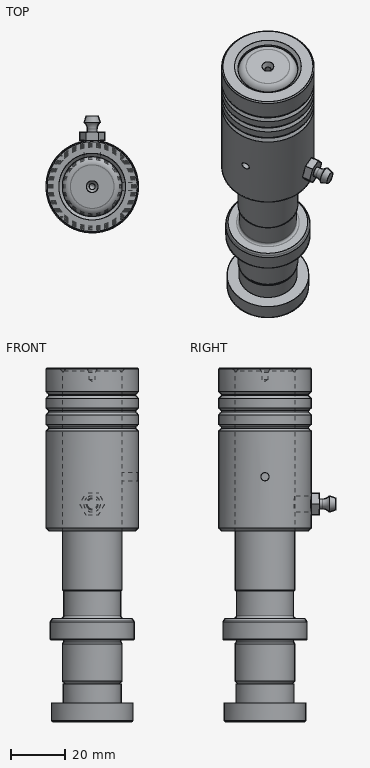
import cadquery as cq
import math

TOTAL_HEIGHT = 130.0
SLEEVE_LENGTH = 60.0
SLEEVE_BOTTOM = TOTAL_HEIGHT - SLEEVE_LENGTH

SLEEVE_RADIUS = 17.0
SLEEVE_TOP_CHAMFER = 0.5
SLEEVE_BOTTOM_CHAMFER = 1.2
BORE_CHAMFER = 1.25
GROOVE_COUNT = 3
GROOVE_PITCH = 6.0
FIRST_GROOVE_FROM_TOP = 10.0
GROOVE_MOUTH = 2.5
GROOVE_DEPTH = 1.0
SIDE_PORT_RADIUS = 1.5
SIDE_PORT_Z = 90.0

PIN_RADIUS = 11.0
PIN_BOTTOM = 14.0
PIN_TOP_FILLET = 3.0
PIN_END_CHAMFER = 1.0
NECK_RADIUS = 10.5
NECK_TOP = 48.5
COLLAR_RADIUS = 15.5
COLLAR_BOTTOM = 30.0
COLLAR_TOP = 38.0
COLLAR_FILLET = 1.0
COLLAR_BEVEL_HEIGHT = 0.7
COLLAR_TOP_BEVEL_WIDTH = 0.5
COLLAR_SIDE_BEVEL_WIDTH = 0.4
COLLAR_BOTTOM_CHAMFER = 0.4
RELIEF_WIDTH = 0.6
RELIEF_TAPER_HEIGHT = 0.8

CENTRE_MOUTH_RADIUS = 2.15
CENTRE_HOLE_RADIUS = 1.1
CENTRE_CONE_HALF_ANGLE = 30.0
DRILL_TIP_HALF_ANGLE = 60.0
CENTRE_CONE_DEPTH = (CENTRE_MOUTH_RADIUS - CENTRE_HOLE_RADIUS) / math.tan(math.radians(CENTRE_CONE_HALF_ANGLE))
CENTRE_HOLE_DEPTH = 2.5
CENTRE_TIP_HEIGHT = CENTRE_HOLE_RADIUS / math.tan(math.radians(DRILL_TIP_HALF_ANGLE))

CAP_RADIUS = 15.0
CAP_FLANGE_HEIGHT = 7.0
CAP_SPIGOT_RADIUS = 10.7
CAP_BOTTOM_CHAMFER = 0.5

NIPPLE_Z = 80.0
NIPPLE_TIP_Y = 26.0
HEX_ACROSS_FLATS = 8.0
HEX_HEIGHT = 3.0
NIPPLE_SHANK_RADIUS = 3.0
NIPPLE_NECK_RADIUS = 1.85
NIPPLE_NECK_LENGTH = 1.2
NIPPLE_HEAD_RADIUS = 3.0
NIPPLE_HEAD_Y = 23.6
NIPPLE_TIP_RADIUS = 2.2


def quarter_arc_inset(radius):
    """Inset of a quarter arc's middle from each of the two lines that it rounds."""
    return radius * (1 - math.sqrt(0.5))


def revolve_about_z(points):
    return cq.Workplane("XZ").polyline(points).close().revolve(360, (0, 0), (0, 1))


def nipple_workplane(y):
    """Plane across the nipple axis, facing +Y."""
    return cq.Workplane(cq.Plane(origin=(0, y, NIPPLE_Z), xDir=(1, 0, 0), normal=(0, 1, 0)))


def nipple_shank_rod():
    """Rod from the pin axis out to the sleeve's surface."""
    return nipple_workplane(0).circle(NIPPLE_SHANK_RADIUS).extrude(SLEEVE_RADIUS)


def make_groove(z_centre):
    half_mouth = GROOVE_MOUTH / 2
    half_floor = half_mouth - GROOVE_DEPTH
    floor_radius = SLEEVE_RADIUS - GROOVE_DEPTH
    return revolve_about_z([
        (SLEEVE_RADIUS + GROOVE_DEPTH, z_centre - half_mouth - GROOVE_DEPTH),
        (floor_radius, z_centre - half_floor),
        (floor_radius, z_centre + half_floor),
        (SLEEVE_RADIUS + GROOVE_DEPTH, z_centre + half_mouth + GROOVE_DEPTH),
    ])


def make_sleeve():
    sleeve = revolve_about_z([
        (PIN_RADIUS, SLEEVE_BOTTOM),
        (SLEEVE_RADIUS - SLEEVE_BOTTOM_CHAMFER, SLEEVE_BOTTOM),
        (SLEEVE_RADIUS, SLEEVE_BOTTOM + SLEEVE_BOTTOM_CHAMFER),
        (SLEEVE_RADIUS, TOTAL_HEIGHT - SLEEVE_TOP_CHAMFER),
        (SLEEVE_RADIUS - SLEEVE_TOP_CHAMFER, TOTAL_HEIGHT),
        (PIN_RADIUS + BORE_CHAMFER, TOTAL_HEIGHT),
        (PIN_RADIUS, TOTAL_HEIGHT - BORE_CHAMFER),
    ])
    for index in range(GROOVE_COUNT):
        z_centre = TOTAL_HEIGHT - FIRST_GROOVE_FROM_TOP - index * GROOVE_PITCH
        sleeve = sleeve.cut(make_groove(z_centre))
    side_port_plane = cq.Workplane("YZ").center(0, SIDE_PORT_Z)
    side_port = side_port_plane.circle(SIDE_PORT_RADIUS).extrude(SLEEVE_RADIUS)
    return sleeve.cut(nipple_shank_rod()).cut(side_port)


def make_pin():
    fillet_middle = quarter_arc_inset(PIN_TOP_FILLET)
    collar_fillet_middle = quarter_arc_inset(COLLAR_FILLET)
    side_bevel_radius = COLLAR_RADIUS - COLLAR_SIDE_BEVEL_WIDTH
    side_bevel_top = COLLAR_TOP - COLLAR_BEVEL_HEIGHT
    relief_bottom = COLLAR_BOTTOM - RELIEF_WIDTH
    neck_step = PIN_RADIUS - NECK_RADIUS
    cone_bottom = TOTAL_HEIGHT - CENTRE_CONE_DEPTH
    hole_bottom = cone_bottom - CENTRE_HOLE_DEPTH
    profile = (
        cq.Workplane("XZ")
        .moveTo(0, PIN_BOTTOM)
        .lineTo(PIN_RADIUS - PIN_END_CHAMFER, PIN_BOTTOM)
        .lineTo(PIN_RADIUS, PIN_BOTTOM + PIN_END_CHAMFER)
        .lineTo(PIN_RADIUS, relief_bottom - RELIEF_TAPER_HEIGHT)
        .lineTo(NECK_RADIUS, relief_bottom)
        .lineTo(NECK_RADIUS, COLLAR_BOTTOM)
        .lineTo(COLLAR_RADIUS - COLLAR_BOTTOM_CHAMFER, COLLAR_BOTTOM)
        .lineTo(COLLAR_RADIUS, COLLAR_BOTTOM + COLLAR_BOTTOM_CHAMFER)
        .lineTo(COLLAR_RADIUS, side_bevel_top - COLLAR_BEVEL_HEIGHT)
        .lineTo(side_bevel_radius, side_bevel_top)
        .lineTo(side_bevel_radius - COLLAR_TOP_BEVEL_WIDTH, COLLAR_TOP)
        .lineTo(NECK_RADIUS + COLLAR_FILLET, COLLAR_TOP)
        .threePointArc(
            (NECK_RADIUS + collar_fillet_middle, COLLAR_TOP + collar_fillet_middle),
            (NECK_RADIUS, COLLAR_TOP + COLLAR_FILLET),
        )
        .lineTo(NECK_RADIUS, NECK_TOP - neck_step)
        .lineTo(PIN_RADIUS, NECK_TOP)
        .lineTo(PIN_RADIUS, TOTAL_HEIGHT - PIN_TOP_FILLET)
        .threePointArc(
            (PIN_RADIUS - fillet_middle, TOTAL_HEIGHT - fillet_middle),
            (PIN_RADIUS - PIN_TOP_FILLET, TOTAL_HEIGHT),
        )
        .lineTo(CENTRE_MOUTH_RADIUS, TOTAL_HEIGHT)
        .lineTo(CENTRE_HOLE_RADIUS, cone_bottom)
        .lineTo(CENTRE_HOLE_RADIUS, hole_bottom)
        .lineTo(0, hole_bottom - CENTRE_TIP_HEIGHT)
        .close()
    )
    return profile.revolve(360, (0, 0), (0, 1))


def make_cap():
    return revolve_about_z([
        (0, 0),
        (CAP_RADIUS - CAP_BOTTOM_CHAMFER, 0),
        (CAP_RADIUS, CAP_BOTTOM_CHAMFER),
        (CAP_RADIUS, CAP_FLANGE_HEIGHT),
        (CAP_SPIGOT_RADIUS, CAP_FLANGE_HEIGHT),
        (CAP_SPIGOT_RADIUS, PIN_BOTTOM),
        (0, PIN_BOTTOM),
    ])


def make_nipple():
    hex_top = SLEEVE_RADIUS + HEX_HEIGHT
    neck_top = hex_top + NIPPLE_NECK_LENGTH
    hex_across_corners = HEX_ACROSS_FLATS / math.cos(math.radians(30))
    hexagon = nipple_workplane(SLEEVE_RADIUS).polygon(6, hex_across_corners).extrude(HEX_HEIGHT)
    pin_space = cq.Workplane("XY").circle(PIN_RADIUS).extrude(TOTAL_HEIGHT)
    shank = nipple_shank_rod().cut(pin_space)
    head = (
        cq.Workplane("XY", origin=(0, 0, NIPPLE_Z))
        .moveTo(0, hex_top)
        .lineTo(NIPPLE_NECK_RADIUS, hex_top)
        .lineTo(NIPPLE_NECK_RADIUS, neck_top)
        .tangentArcPoint((NIPPLE_HEAD_RADIUS, NIPPLE_HEAD_Y), relative=False)
        .lineTo(NIPPLE_TIP_RADIUS, NIPPLE_TIP_Y)
        .lineTo(0, NIPPLE_TIP_Y)
        .close()
        .revolve(360, (0, 0), (0, 1))
    )
    return hexagon.union(shank).union(head)


sleeve = make_sleeve()
pin = make_pin()
cap = make_cap()
nipple = make_nipple()

result = cq.Compound.makeCompound([sleeve.val(), pin.val(), cap.val(), nipple.val()])